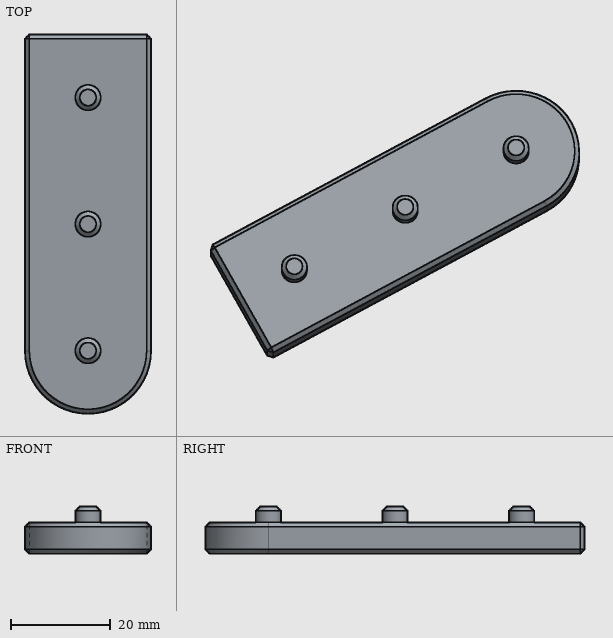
import cadquery as cq

length = 76.2
width = 25.4
plate_thickness = 6.3
total_height = 9.5
edge_chamfer = 0.9
pin_diameter = 5.1
pin_chamfer = 0.9
pin_count = 3

end_radius = width / 2
pin_height = total_height - plate_thickness
pin_spacing = (length - 2 * end_radius) / (pin_count - 1)


def make_plate():
    """Plate with a round end at -Y and a square end at +Y, chamfered all around."""
    straight_length = length - end_radius
    plate = (
        cq.Workplane("XY")
        .moveTo(-end_radius, straight_length)
        .lineTo(-end_radius, 0)
        .threePointArc((0, -end_radius), (end_radius, 0))
        .lineTo(end_radius, straight_length)
        .close()
        .extrude(plate_thickness)
    )
    return plate.faces("<Z or >Z or >Y").edges().chamfer(edge_chamfer)


def make_pin(y):
    """Upright pin with a chamfered tip, standing on the plate."""
    return (
        cq.Workplane("XY", origin=(0, y, plate_thickness))
        .circle(pin_diameter / 2)
        .extrude(pin_height)
        .faces(">Z")
        .chamfer(pin_chamfer)
    )


result = make_plate()
for index in range(pin_count):
    result = result.union(make_pin(index * pin_spacing))